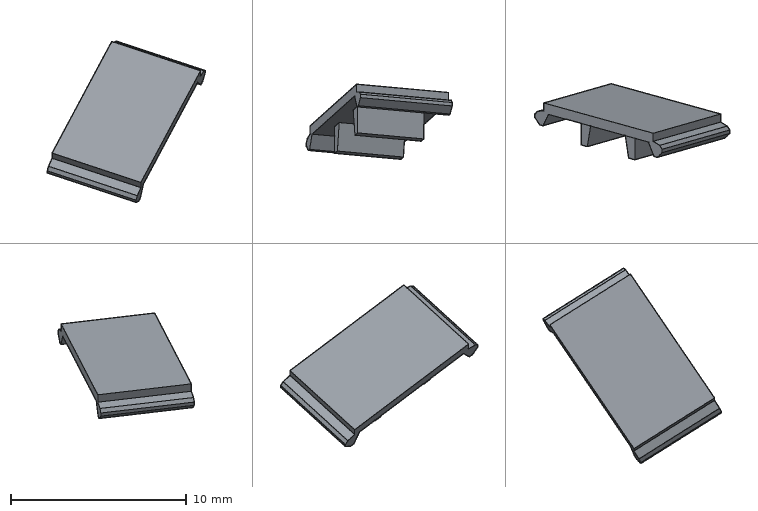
import cadquery as cq

length = 10.2
width = 5.5
height = 2.2

plate_length = 8.77
plate_thickness = 0.6

lip_start_depth = 0.48
lip_shoulder_y = 4.91
lip_shoulder_depth = 0.61
lip_nose_top_depth = 0.81
lip_nose_bottom_depth = 1.01
lip_depth = 1.38
lip_foot_outer_y = 4.7
lip_foot_inner_y = 4.45
lip_root_y = 4.0

leg_width = 3.96
leg_outer_y = 2.15
leg_root_thickness = 0.84
leg_tip_thickness = 0.5


def extrude_profile(points, depth):
    """Extrude a (Y, Z) outline along X, centred on X = 0."""
    return cq.Workplane("YZ").polyline(points).close().extrude(depth / 2, both=True)


def plate_with_lips():
    half_outline = [
        (plate_length / 2, 0),
        (plate_length / 2, -lip_start_depth),
        (lip_shoulder_y, -lip_shoulder_depth),
        (length / 2, -lip_nose_top_depth),
        (length / 2, -lip_nose_bottom_depth),
        (lip_foot_outer_y, -lip_depth),
        (lip_foot_inner_y, -lip_depth),
        (lip_root_y, -plate_thickness),
    ]
    mirrored_outline = [(-y, z) for y, z in reversed(half_outline)]
    return extrude_profile(half_outline + mirrored_outline, width)


def leg(side):
    """Leg with a vertical outer face and a sloped inner face; side is +1 or -1 in Y."""
    outline = [
        (side * leg_outer_y, -plate_thickness),
        (side * leg_outer_y, -height),
        (side * (leg_outer_y - leg_tip_thickness), -height),
        (side * (leg_outer_y - leg_root_thickness), -plate_thickness),
    ]
    return extrude_profile(outline, leg_width)


result = plate_with_lips()
for side in (1, -1):
    result = result.union(leg(side))